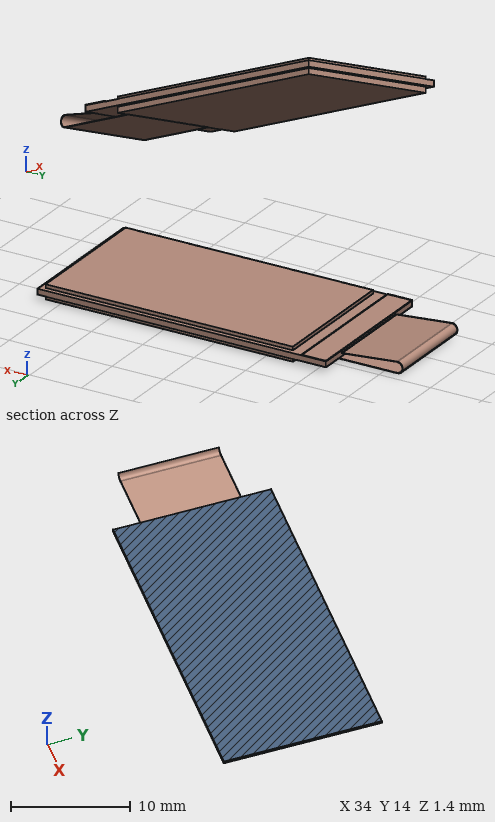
import cadquery as cq
import math

total_length = 34.02
plate_width = 14.0
plate_left = 5.95
plate_thickness = 0.55

panel_left = 9.45
panel_right = 33.5
panel_width = 13.05
lower_panel_thickness = 0.5
upper_panel_thickness = 0.35

strip_length = 2.38
strip_thickness = 0.07

cable_width = 8.9
cable_thickness = 0.05
cable_bottom = 0.25
cable_end = 8.55
bend_radius = 0.55
upper_leg_slope = math.radians(5.2)

plate_bottom = lower_panel_thickness
plate_top = plate_bottom + plate_thickness


def slab(left, right, width, bottom, thickness):
    """Flat rectangular body centred on Y = 0."""
    return (
        cq.Workplane("XY", origin=(left, 0, bottom))
        .box(right - left, width, thickness, centered=(False, True, False))
    )


def bend_point(radius, angle):
    """Point around the bend axis, with the angle measured from +X toward +Z."""
    x = bend_radius + radius * math.cos(angle)
    z = cable_bottom + bend_radius + radius * math.sin(angle)
    return x, z


def upper_leg_end(tangent_point):
    """Point where a sloping face of the upper leg meets the plate edge."""
    x, z = tangent_point
    return plate_left, z - (plate_left - x) * math.tan(upper_leg_slope)


def folded_cable():
    """Strip with a flat lower leg, a round bend and an upper leg sloping down to the plate."""
    inner_radius = bend_radius - cable_thickness
    lower_angle = 1.5 * math.pi
    upper_angle = math.pi / 2 - upper_leg_slope
    outer_tangent = bend_point(bend_radius, upper_angle)
    inner_tangent = bend_point(inner_radius, upper_angle)
    return (
        cq.Workplane("XZ")
        .moveTo(cable_end, cable_bottom)
        .lineTo(*bend_point(bend_radius, lower_angle))
        .threePointArc(bend_point(bend_radius, math.pi), outer_tangent)
        .lineTo(*upper_leg_end(outer_tangent))
        .lineTo(*upper_leg_end(inner_tangent))
        .lineTo(*inner_tangent)
        .threePointArc(
            bend_point(inner_radius, math.pi),
            bend_point(inner_radius, lower_angle),
        )
        .lineTo(cable_end, cable_bottom + cable_thickness)
        .close()
        .extrude(cable_width / 2, both=True)
    )


plate = slab(plate_left, total_length, plate_width, plate_bottom, plate_thickness)
lower_panel = slab(panel_left, panel_right, panel_width, 0, lower_panel_thickness)
upper_panel = slab(panel_left, panel_right, panel_width, plate_top, upper_panel_thickness)
cover_strip = slab(plate_left, plate_left + strip_length, plate_width, plate_top, strip_thickness)
cable = folded_cable()

result = cq.Compound.makeCompound([
    plate.val(),
    lower_panel.val(),
    upper_panel.val(),
    cover_strip.val(),
    cable.val(),
])